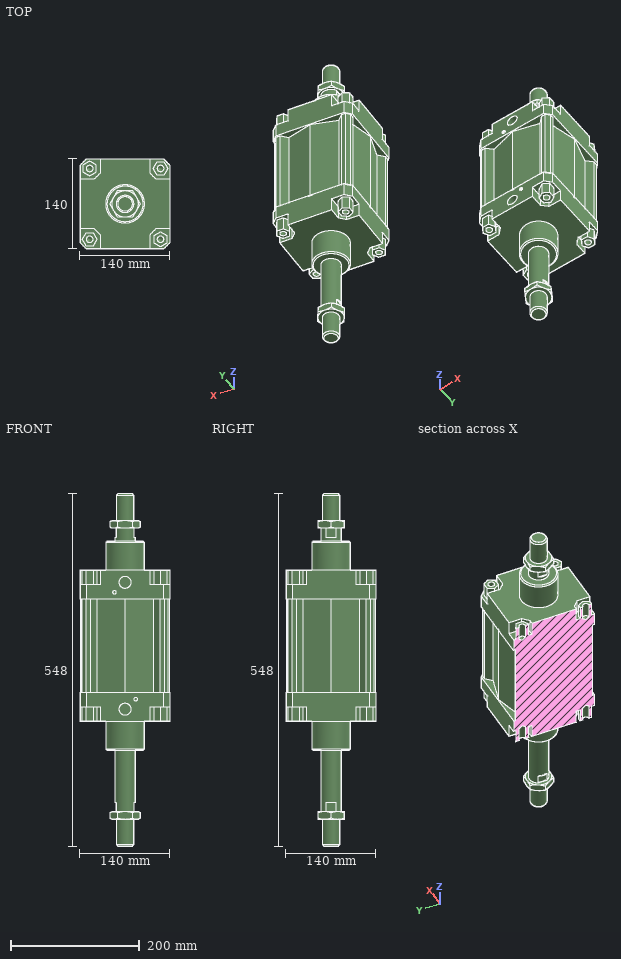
import cadquery as cq
import math


stroke = 75.0
rod_half_length = 274.0
thread_length = 54.0
thread_diameter = 27.0
rod_diameter = 32.0
rod_tip_chamfer_length = 3.2
rod_tip_chamfer_inset = 2.2
flat_width = 28.0
flat_length = 14.0
thread_start = rod_half_length - thread_length

nut_height = 12.0
nut_width = 41.0
nut_face_diameter = nut_width
nut_chamfer_angle = 30.0

cap_size = 140.0
cap_height = 45.0
cap_corner_chamfer = 10.0
retracted_neck = 65.0
body_top = thread_start - retracted_neck
body_bottom = -(thread_start - retracted_neck - stroke)

boss_diameter = 60.0
boss_length = 45.0
boss_chamfer = 2.2

pocket_size = 31.5
pocket_depth = 22.5
pocket_chamfer = 9.5
screw_pitch = 110.0
screw_width = 20.0
screw_hole_diameter = 10.2
screw_hole_depth = 25.0
drill_point_angle = 118.0

port_diameter = 18.6
port_depth = 25.0
port_inset = 19.0
adjuster_diameter = 5.5
adjuster_depth = 2.0
adjuster_inset = 34.5
adjuster_offset = 16.5

barrel_half_width = 67.0
barrel_ridge = 69.0
land_outer = 61.0
land_inner = 54.0
valley_depth = 10.0


def hexagon_across_corners(across_flats):
    return across_flats / math.cos(math.pi / 6)


def make_barrel():
    """Extruded barrel whose four sides share one shallow ridged-valley outline."""
    valley_half_width = land_inner - valley_depth
    side = [
        (-land_outer, -barrel_half_width),
        (-land_inner, -barrel_half_width),
        (-valley_half_width, valley_depth - barrel_half_width),
        (0, -barrel_ridge),
        (valley_half_width, valley_depth - barrel_half_width),
        (land_inner, -barrel_half_width),
        (land_outer, -barrel_half_width),
    ]
    outline = []
    for _ in range(4):
        outline.extend(side)
        side = [(-y, x) for x, y in side]
    bottom = body_bottom + cap_height
    height = body_top - body_bottom - 2 * cap_height
    return cq.Workplane("XY").workplane(offset=bottom).polyline(outline).close().extrude(height)


def make_corner_pocket():
    """Cutter for the pocket in the +X +Y corner, below a cap face at z = 0."""
    centre = (cap_size - pocket_size) / 2
    return (
        cq.Workplane("XY")
        .center(centre, centre)
        .rect(pocket_size, pocket_size)
        .extrude(-pocket_depth)
        .edges("|Z and <X and <Y")
        .chamfer(pocket_chamfer)
    )


def make_screw():
    """Hexagonal tie-rod screw in the +X +Y corner, flush with a cap face at z = 0."""
    return (
        cq.Workplane("XY")
        .center(screw_pitch / 2, screw_pitch / 2)
        .polygon(6, hexagon_across_corners(screw_width))
        .extrude(-pocket_depth)
    )


def make_screw_hole():
    """Cutter for the blind, drill-pointed hole in the +X +Y screw."""
    radius = screw_hole_diameter / 2
    point_length = radius / math.tan(math.radians(drill_point_angle / 2))
    return (
        cq.Workplane("XZ")
        .polyline([
            (0, 0),
            (radius, 0),
            (radius, -screw_hole_depth),
            (0, -screw_hole_depth - point_length),
        ])
        .close()
        .revolve(360, (0, 0, 0), (0, 1, 0))
        .translate((screw_pitch / 2, screw_pitch / 2, 0))
    )


def make_side_hole(x, z, diameter, depth):
    """Cutter for a blind hole into the -Y side of a cap."""
    return (
        cq.Workplane("XZ", origin=(x, -cap_size / 2, z))
        .circle(diameter / 2)
        .extrude(-depth)
    )


def make_cap(adjuster_x):
    """End cap with its outer face at z = 0 and its guide boss pointing up."""
    cap = (
        cq.Workplane("XY")
        .rect(cap_size, cap_size)
        .extrude(-cap_height)
        .edges("|Z")
        .chamfer(cap_corner_chamfer)
    )
    boss = (
        cq.Workplane("XY")
        .circle(boss_diameter / 2)
        .extrude(boss_length)
        .faces(">Z")
        .chamfer(boss_chamfer)
    )
    pocket = make_corner_pocket()
    screw = make_screw()
    screw_hole = make_screw_hole()
    for quarter in range(4):
        angle = 90 * quarter
        cap = cap.cut(pocket.rotate((0, 0, 0), (0, 0, 1), angle))
        cap = cap.union(screw.rotate((0, 0, 0), (0, 0, 1), angle))
        cap = cap.cut(screw_hole.rotate((0, 0, 0), (0, 0, 1), angle))
    cap = cap.union(boss)
    cap = cap.cut(make_side_hole(0, -port_inset, port_diameter, port_depth))
    return cap.cut(make_side_hole(adjuster_x, -adjuster_inset, adjuster_diameter, adjuster_depth))


def make_housing():
    """Barrel and both caps in one piece, bored through for the rod."""
    top_cap = make_cap(-adjuster_offset).translate((0, 0, body_top))
    bottom_cap = make_cap(adjuster_offset).mirror("XY").translate((0, 0, body_bottom))
    rod_bore = cq.Workplane("XY").circle(rod_diameter / 2).extrude(rod_half_length, both=True)
    return make_barrel().union(top_cap).union(bottom_cap).cut(rod_bore)


def make_rod():
    """Through rod with a threaded end and a pair of wrench flats at each end."""
    rod = cq.Workplane("XY").circle(rod_diameter / 2).extrude(thread_start, both=True)
    thread_radius = thread_diameter / 2
    tip_radius = thread_radius - rod_tip_chamfer_inset
    chamfer_start = rod_half_length - rod_tip_chamfer_length
    threads = (
        cq.Workplane("XZ")
        .polyline([
            (0, -rod_half_length),
            (tip_radius, -rod_half_length),
            (thread_radius, -chamfer_start),
            (thread_radius, chamfer_start),
            (tip_radius, rod_half_length),
            (0, rod_half_length),
        ])
        .close()
        .revolve(360, (0, 0, 0), (0, 1, 0))
    )
    rod = rod.union(threads)
    flat_centre_z = thread_start - flat_length / 2
    for end in (-1, 1):
        for side in (-1, 1):
            flat_cutter = (
                cq.Workplane("XY")
                .box(rod_diameter, rod_diameter, flat_length)
                .translate((side * (flat_width + rod_diameter) / 2, 0, end * flat_centre_z))
            )
            rod = rod.cut(flat_cutter)
    return rod


def make_nut(bottom):
    """Hexagonal lock nut with its corners chamfered on both faces."""
    corner_radius = hexagon_across_corners(nut_width) / 2
    face_radius = nut_face_diameter / 2
    chamfer_height = (corner_radius - face_radius) * math.tan(math.radians(nut_chamfer_angle))
    blank = cq.Workplane("XY").polygon(6, 2 * corner_radius).extrude(nut_height)
    envelope = (
        cq.Workplane("XZ")
        .polyline([
            (0, 0),
            (face_radius, 0),
            (corner_radius, chamfer_height),
            (corner_radius, nut_height - chamfer_height),
            (face_radius, nut_height),
            (0, nut_height),
        ])
        .close()
        .revolve(360, (0, 0, 0), (0, 1, 0))
    )
    bore = cq.Workplane("XY").circle(thread_diameter / 2).extrude(nut_height)
    return blank.intersect(envelope).cut(bore).translate((0, 0, bottom))


housing = make_housing()
rod = make_rod()
nuts = [make_nut(bottom) for bottom in (thread_start, -thread_start - nut_height)]

result = cq.Compound.makeCompound([housing.val(), rod.val(), *[nut.val() for nut in nuts]])